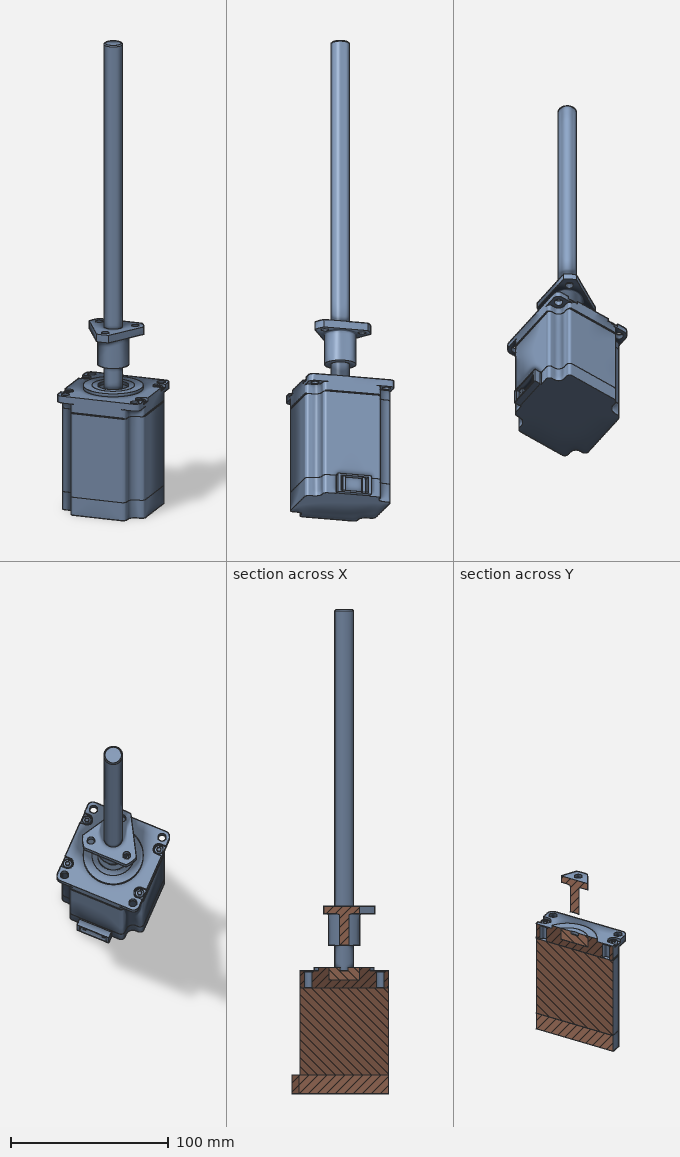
import cadquery as cq
import math

frame_width = 56.2
rear_cover_top = 12.0
stator_top = 67.4
joint_gap = 0.6
cover_base = stator_top + joint_gap
mount_plate_thickness = 4.5
motor_top = 78.2
mount_plate_base = motor_top - mount_plate_thickness
mount_plate_corner_radius = 3.7
joint_inset = 0.5

cut_overrun = 1.0

mount_hole_offset = 47.14 / 2
mount_hole_diameter = 5.1
relief_radius = 4.65
relief_ear_radius = 2.7

pilot_diameter = 38.1
pilot_height = 2.0
pilot_top = motor_top + pilot_height
bearing_outer_diameter = 27.0
bearing_opening_diameter = 19.6
bearing_recess_depth = 2.0
bearing_height = 8.0

blind_hole_count = 8
blind_hole_circle_radius = 24.75
blind_hole_first_angle = 180 / blind_hole_count
blind_hole_diameter = 4.6
blind_hole_roof = 1.0

pocket_x = 24.8
pocket_y = 15.6
pocket_diameter = 7.2
pocket_depth = 2.2
bolt_head_diameter = 5.5
bolt_head_height = 1.7
bolt_head_rounding = 0.8
bolt_socket_width = 2.5
bolt_socket_depth = 1.0

connector_width = 22.0
connector_reach = 5.0
connector_pad_thickness = 0.8
connector_side_wall = 1.9
connector_top_wall = 1.0
connector_rib_offset = 6.5
connector_rib_width = 1.8
connector_rib_depth = 2.5
connector_back = frame_width / 2 + connector_pad_thickness
connector_depth = connector_reach - connector_pad_thickness

screw_diameter = 12.0
screw_top = 307.1
screw_chamfer = 0.8
screw_base = pilot_top - bearing_height

nut_base = 94.2
nut_flange_base = 114.1
nut_flange_thickness = 5.0
nut_body_diameter = 20.0
nut_flange_corner_radius = 19.5
nut_flange_side_distance = 13.1
nut_root_fillet = 1.0
nut_hole_count = 3
nut_hole_first_angle = 30
nut_hole_circle_radius = 14.2
nut_hole_diameter = 4.8


def disc(diameter, base, height):
    """Plain cylinder on the motor axis."""
    return cq.Workplane("XY", origin=(0, 0, base)).circle(diameter / 2).extrude(height)


def signed_corners(x, y):
    return [(x * sx, y * sy) for sx in (-1, 1) for sy in (-1, 1)]


def frame_block(width, base, height):
    return cq.Workplane("XY").box(width, width, height, centered=(True, True, False)).translate((0, 0, base))


def corner_relief(base, height):
    """Cutter for the +X +Y corner: a round channel with straight mouths and rounded ears."""
    half = frame_width / 2
    inner = mount_hole_offset - relief_radius
    ear_end = half - relief_ear_radius
    ear_start = inner - relief_ear_radius
    beyond = half + cut_overrun
    arc = relief_radius * math.sqrt(0.5)
    ear = relief_ear_radius * math.sqrt(0.5)
    return (
        cq.Workplane("XY", origin=(0, 0, base))
        .moveTo(beyond, beyond)
        .lineTo(ear_start, beyond)
        .lineTo(ear_start, half)
        .threePointArc((ear_start + ear, ear_end + ear), (inner, ear_end))
        .lineTo(inner, mount_hole_offset)
        .threePointArc((mount_hole_offset - arc, mount_hole_offset - arc), (mount_hole_offset, inner))
        .lineTo(ear_end, inner)
        .threePointArc((ear_end + ear, ear_start + ear), (half, ear_start))
        .lineTo(beyond, ear_start)
        .close()
        .extrude(height)
    )


def cut_corner_reliefs(body, base, height):
    cutter = corner_relief(base, height)
    for turn in range(4):
        body = body.cut(cutter.rotate((0, 0, 0), (0, 0, 1), 90 * turn))
    return body


def rear_block(width, start_y, depth, base, height):
    """Block centred on X that grows from start_y toward +Y."""
    block = cq.Workplane("XY").box(width, depth, height, centered=(True, False, False))
    return block.translate((0, start_y, base))


def make_rear_cover():
    cover = cut_corner_reliefs(frame_block(frame_width, 0, rear_cover_top), 0, rear_cover_top)
    pad = rear_block(connector_width, frame_width / 2, connector_pad_thickness, 0, rear_cover_top)
    return cover.union(pad)


def make_stator():
    height = stator_top - rear_cover_top
    return cut_corner_reliefs(frame_block(frame_width, rear_cover_top, height), rear_cover_top, height)


def bolt_pockets():
    points = signed_corners(pocket_x, pocket_y)
    floor = cq.Workplane("XY", origin=(0, 0, motor_top - pocket_depth))
    mouth = frame_width / 2 - pocket_x + cut_overrun
    pockets = floor.pushPoints(points).circle(pocket_diameter / 2).extrude(pocket_depth)
    for x, y in points:
        mouth_x = x + math.copysign(mouth / 2, x)
        pockets = pockets.union(floor.center(mouth_x, y).rect(mouth, pocket_diameter).extrude(pocket_depth))
    return pockets


def bolt_heads():
    heads = (
        cq.Workplane("XY", origin=(0, 0, motor_top - pocket_depth))
        .pushPoints(signed_corners(pocket_x, pocket_y))
        .circle(bolt_head_diameter / 2)
        .extrude(bolt_head_height)
        .faces(">Z")
        .edges()
        .fillet(bolt_head_rounding)
    )
    sockets = (
        cq.Workplane("XY", origin=(0, 0, motor_top - pocket_depth + bolt_head_height - bolt_socket_depth))
        .pushPoints(signed_corners(pocket_x, pocket_y))
        .polygon(6, bolt_socket_width, circumscribed=True)
        .extrude(bolt_socket_depth)
    )
    return heads.cut(sockets)


def make_front_cover():
    cover = frame_block(frame_width, cover_base, motor_top - cover_base)
    cover = cover.edges("|Z").fillet(mount_plate_corner_radius)
    cover = cut_corner_reliefs(cover, cover_base, mount_plate_base - cover_base)
    spigot = cut_corner_reliefs(
        frame_block(frame_width - 2 * joint_inset, stator_top, joint_gap), stator_top, joint_gap)
    pilot = disc(pilot_diameter, motor_top, pilot_height)
    mount_holes = (
        cq.Workplane("XY", origin=(0, 0, mount_plate_base))
        .pushPoints(signed_corners(mount_hole_offset, mount_hole_offset))
        .circle(mount_hole_diameter / 2)
        .extrude(mount_plate_thickness)
    )
    blind_holes = (
        cq.Workplane("XY", origin=(0, 0, stator_top))
        .polarArray(blind_hole_circle_radius, blind_hole_first_angle, 360, blind_hole_count)
        .circle(blind_hole_diameter / 2)
        .extrude(motor_top - blind_hole_roof - stator_top)
    )
    seat = disc(bearing_outer_diameter, screw_base, bearing_height)
    cover = cover.union(spigot).union(pilot).cut(mount_holes).cut(blind_holes)
    return cover.cut(seat).cut(bolt_pockets()).union(bolt_heads())


def make_bearing():
    recess = disc(bearing_opening_diameter, pilot_top - bearing_recess_depth, bearing_recess_depth)
    bore = disc(screw_diameter, screw_base, bearing_height)
    return disc(bearing_outer_diameter, screw_base, bearing_height).cut(recess).cut(bore)


def make_connector():
    """Open sleeve behind the rear cover's pad, with two upright ribs inside."""
    sleeve = rear_block(connector_width, connector_back, connector_depth, 0, rear_cover_top)
    cavity = rear_block(
        connector_width - 2 * connector_side_wall,
        connector_back,
        connector_depth,
        connector_top_wall,
        rear_cover_top - 2 * connector_top_wall,
    )
    rib = rear_block(connector_rib_width, connector_back, connector_rib_depth, 0, rear_cover_top)
    connector = sleeve.cut(cavity)
    for side in (-1, 1):
        connector = connector.union(rib.translate((side * connector_rib_offset, 0, 0)))
    return connector


def make_screw():
    return disc(screw_diameter, screw_base, screw_top - screw_base).faces(">Z").chamfer(screw_chamfer)


def make_nut():
    """Round nut under a triangular flange whose three corners lie on a circle."""
    round_plate = disc(2 * nut_flange_corner_radius, nut_flange_base, nut_flange_thickness)
    triangle = (
        cq.Workplane("XY", origin=(0, 0, nut_flange_base))
        .polygon(3, 4 * nut_flange_side_distance)
        .extrude(nut_flange_thickness)
        .rotate((0, 0, 0), (0, 0, 1), -90)
    )
    body = disc(nut_body_diameter, nut_base, nut_flange_base - nut_base)
    holes = (
        cq.Workplane("XY", origin=(0, 0, nut_flange_base))
        .polarArray(nut_hole_circle_radius, nut_hole_first_angle, 360, nut_hole_count)
        .circle(nut_hole_diameter / 2)
        .extrude(nut_flange_thickness)
    )
    bore = disc(screw_diameter, nut_base, nut_flange_base + nut_flange_thickness - nut_base)
    blank = round_plate.intersect(triangle).union(body)
    underside = blank.faces("|Z").faces(">Z[-2]")
    nut = underside.edges(cq.selectors.RadiusNthSelector(0)).fillet(nut_root_fillet)
    return nut.cut(holes).cut(bore)


rear_cover = make_rear_cover()
stator = make_stator()
front_cover = make_front_cover()
bearing = make_bearing()
connector = make_connector()
screw = make_screw()
nut = make_nut()

result = cq.Compound.makeCompound([
    rear_cover.val(),
    stator.val(),
    front_cover.val(),
    bearing.val(),
    connector.val(),
    screw.val(),
    nut.val(),
])